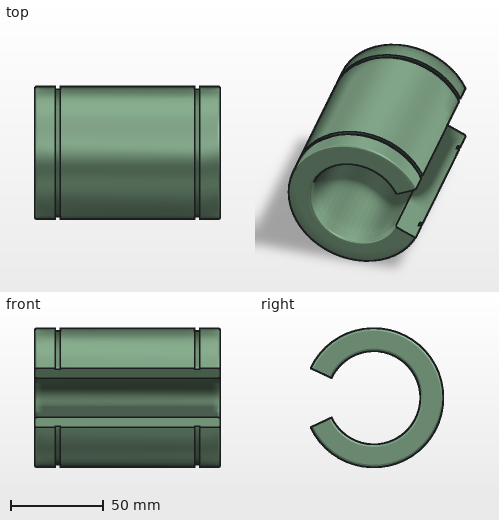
import cadquery as cq
import math

length = 100.0
outer_radius = 37.5
bore_radius = 25.0
end_rounding = 1.5

groove_width = 2.65
groove_depth = 1.5
groove_span = 77.6

opening_angle = 50.0


def make_sleeve():
    """Plain tube with all four circular end edges rounded."""
    tube = (
        cq.Workplane("YZ")
        .circle(outer_radius)
        .circle(bore_radius)
        .extrude(length / 2, both=True)
    )
    return tube.faces("<X or >X").edges().fillet(end_rounding)


def make_groove(start_x):
    """Ring of material to remove, starting at start_x and running toward +X."""
    clearance = 1.0
    return (
        cq.Workplane("YZ", origin=(start_x, 0, 0))
        .circle(outer_radius + clearance)
        .circle(outer_radius - groove_depth)
        .extrude(groove_width)
    )


def make_opening():
    """Wedge from the sleeve axis toward -Y, reaching past the outer surface."""
    reach = 2 * outer_radius
    half_height = reach * math.tan(math.radians(opening_angle / 2))
    return (
        cq.Workplane("YZ")
        .polyline([(0, 0), (-reach, half_height), (-reach, -half_height)])
        .close()
        .extrude(length, both=True)
    )


result = make_sleeve()
for groove_start in (-groove_span / 2, groove_span / 2 - groove_width):
    result = result.cut(make_groove(groove_start))
result = result.cut(make_opening())